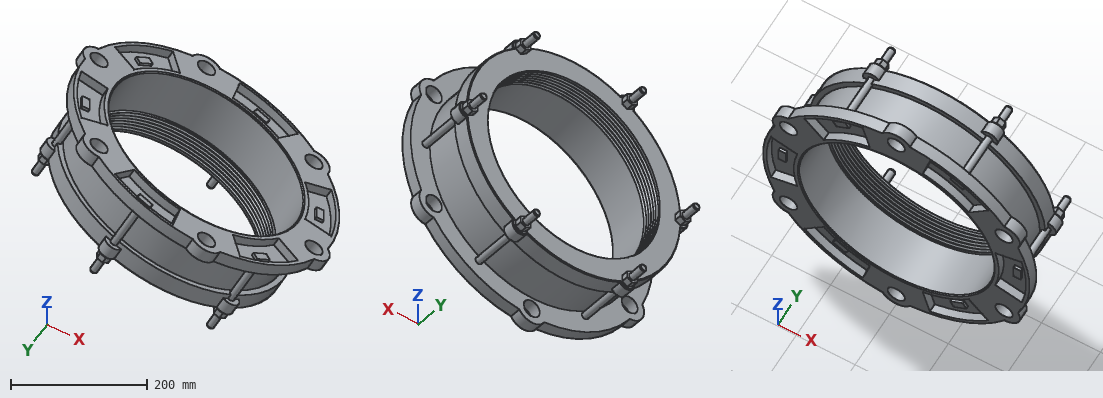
import cadquery as cq
import math

FLANGE_THICK = 20.0
BARREL_END = 90.5
RING_LUG_START = 99.0
COUPLING_LENGTH = 120.0

FLANGE_RADIUS = 226.8
FLANGE_LUG_CIRCLE = 211.5
FLANGE_LUG_RADIUS = 238.5 - FLANGE_LUG_CIRCLE
FLANGE_HOLE_DIAMETER = 29.5

POCKET_INNER_RADIUS = 174.2
POCKET_OUTER_RADIUS = 220.5
POCKET_HALF_ANGLE = 15.0
POCKET_DEPTH = 14.5
PAD_RADIAL = 12.5
PAD_LENGTH = 25.0
PAD_HEIGHT = 5.0
PAD_CIRCLE = 199.5

BARREL_DIAMETER = 382.0
RING_DIAMETER = 401.0
RING_CHAMFER = 1.5
RING_LUG_RADIUS = 15.0
BOLT_CIRCLE = 199.0

BORE_DIAMETER = 332.0
BORE_CHAMFER = 2.0
RIB_ROOT_DIAMETER = 328.0
RIB_TIP_DIAMETER = 322.0
RIB_COUNT = 6
RIB_PITCH = 5.5
RIB_START = 81.0

LUG_COUNT = 6
LUG_SPACING = 360 / LUG_COUNT
STUD_DIAMETER = 12.0
STUD_TIP_DIAMETER = 10.0
STUD_TIP_LENGTH = 2.0
STUD_END = 159.0
NUT_ACROSS_FLATS = 19.0
NUT_HEIGHT = 12.0


def polar(radius, degrees):
    """XZ point at a radius and an angle from +X toward +Z."""
    angle = math.radians(degrees)
    return radius * math.cos(angle), radius * math.sin(angle)


def sketch_at(y):
    """Workplane with local axes X and Z; a negative extrusion goes toward +Y."""
    return cq.Workplane(cq.Plane(origin=(0, y, 0), xDir=(1, 0, 0), normal=(0, -1, 0)))


def cylinder(diameter, y_start, y_end, centre=(0, 0)):
    return sketch_at(y_start).center(*centre).circle(diameter / 2).extrude(y_start - y_end)


def make_flange():
    flange = cylinder(2 * FLANGE_RADIUS, 0, FLANGE_THICK)
    centres = [polar(FLANGE_LUG_CIRCLE, LUG_SPACING * (i + 0.5)) for i in range(LUG_COUNT)]
    for centre in centres:
        flange = flange.union(cylinder(2 * FLANGE_LUG_RADIUS, 0, FLANGE_THICK, centre))
    for centre in centres:
        flange = flange.cut(cylinder(FLANGE_HOLE_DIAMETER, 0, FLANGE_THICK, centre))
    pocket = make_pocket()
    for i in range(LUG_COUNT):
        flange = flange.cut(pocket.rotate((0, 0, 0), (0, 1, 0), LUG_SPACING * i))
    return flange


def make_pocket():
    """Pocket centred on +X, less the pad left standing on its floor."""
    pocket = (
        sketch_at(0)
        .moveTo(*polar(POCKET_INNER_RADIUS, -POCKET_HALF_ANGLE))
        .lineTo(*polar(POCKET_OUTER_RADIUS, -POCKET_HALF_ANGLE))
        .threePointArc((POCKET_OUTER_RADIUS, 0), polar(POCKET_OUTER_RADIUS, POCKET_HALF_ANGLE))
        .lineTo(*polar(POCKET_INNER_RADIUS, POCKET_HALF_ANGLE))
        .threePointArc((POCKET_INNER_RADIUS, 0), polar(POCKET_INNER_RADIUS, -POCKET_HALF_ANGLE))
        .close()
        .extrude(-POCKET_DEPTH)
    )
    pad = (
        sketch_at(POCKET_DEPTH - PAD_HEIGHT)
        .center(PAD_CIRCLE, 0)
        .rect(PAD_RADIAL, PAD_LENGTH)
        .extrude(-PAD_HEIGHT)
    )
    return pocket.cut(pad)


def make_barrel():
    return cylinder(BARREL_DIAMETER, FLANGE_THICK, BARREL_END)


def rear_chamfered(body):
    return body.faces(">Y").chamfer(RING_CHAMFER)


def make_clamp_ring():
    ring = rear_chamfered(cylinder(RING_DIAMETER, BARREL_END, COUPLING_LENGTH))
    for i in range(LUG_COUNT):
        centre = polar(BOLT_CIRCLE, LUG_SPACING * i)
        lug = cylinder(2 * RING_LUG_RADIUS, RING_LUG_START, COUPLING_LENGTH, centre)
        ring = ring.union(rear_chamfered(lug))
    return ring


def make_bore():
    """Bore cutter: lead-in chamfer, plain bore, ribbed seal zone and plain rear opening."""
    bore = BORE_DIAMETER / 2
    root = RIB_ROOT_DIAMETER / 2
    tip = RIB_TIP_DIAMETER / 2
    outline = [(0, 0), (bore + BORE_CHAMFER, 0), (bore, BORE_CHAMFER), (bore, RIB_START)]
    for i in range(RIB_COUNT):
        y = RIB_START + i * RIB_PITCH
        outline += [(tip, y), (root, y + RIB_PITCH / 2)]
    outline += [(tip, RIB_START + RIB_COUNT * RIB_PITCH), (tip, COUPLING_LENGTH), (0, COUPLING_LENGTH)]
    return cq.Workplane("XY").polyline(outline).close().revolve(360, (0, 0, 0), (0, 1, 0))


def make_stud(centre):
    shank = cylinder(STUD_DIAMETER, FLANGE_THICK, STUD_END, centre)
    tip_inset = (STUD_DIAMETER - STUD_TIP_DIAMETER) / 2
    return shank.faces(">Y").chamfer(STUD_TIP_LENGTH, tip_inset)


def make_bolt(centre):
    """Stud with its nut, the nut having corners toward +Z and -Z."""
    nut = (
        sketch_at(COUPLING_LENGTH)
        .center(*centre)
        .transformed(rotate=(0, 0, 90))
        .polygon(6, NUT_ACROSS_FLATS / math.cos(math.pi / 6))
        .extrude(-NUT_HEIGHT)
    )
    return make_stud(centre).union(nut)


housing = make_flange().union(make_barrel()).union(make_clamp_ring()).cut(make_bore())
bolts = []
for i in range(LUG_COUNT):
    bolt_centre = polar(BOLT_CIRCLE, LUG_SPACING * i)
    housing = housing.cut(cylinder(STUD_DIAMETER, FLANGE_THICK, COUPLING_LENGTH, bolt_centre))
    bolts.append(make_bolt(bolt_centre))

result = cq.Compound.makeCompound([housing.val(), *[bolt.val() for bolt in bolts]])